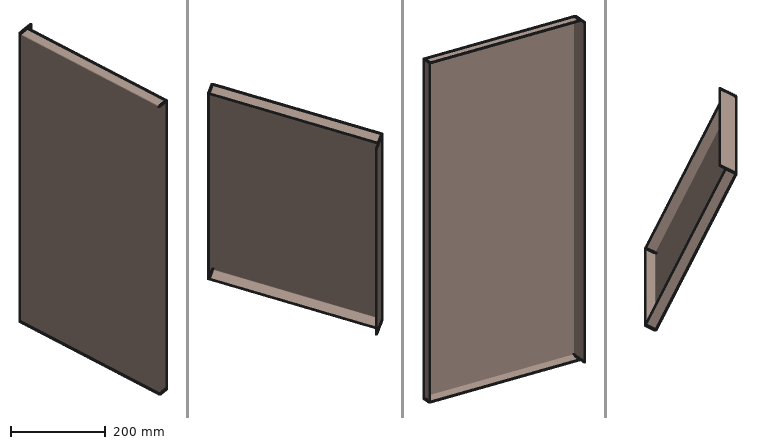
import cadquery as cq

width = 380.0
height = 800.0
pan_depth = 26.0
long_side_depth = 40.0

sheet = 1.5
outer_bend = 3.5
inner_bend = outer_bend - sheet
corner_gap = 1.0


def bent_tray():
    """Front face with four walls folded back, open at +Y."""
    outer = (
        cq.Workplane("XY")
        .box(width, pan_depth, height, centered=(True, False, True))
        .faces("<Y").edges().fillet(outer_bend)
    )
    cavity = (
        cq.Workplane("XY")
        .box(width - 2 * sheet, pan_depth, height - 2 * sheet, centered=(True, False, True))
        .translate((0, sheet, 0))
        .faces("<Y").edges().fillet(inner_bend)
    )
    return outer.cut(cavity)


def long_side_extension():
    """The left wall continues past the depth of the other three walls."""
    return (
        cq.Workplane("XY")
        .box(sheet, long_side_depth - outer_bend, height, centered=(False, False, True))
        .translate((-width / 2, outer_bend, 0))
    )


def corner_seam(side, end):
    """Open seam separating an end wall from a side wall, down to the bend."""
    seam_x = side * (width / 2 - sheet - corner_gap / 2)
    seam_length = pan_depth - outer_bend
    return (
        cq.Workplane("XY")
        .box(corner_gap, seam_length, 2 * outer_bend, centered=(True, False, True))
        .translate((seam_x, outer_bend, end * height / 2))
    )


result = bent_tray().union(long_side_extension())
for side in (-1, 1):
    for end in (-1, 1):
        result = result.cut(corner_seam(side, end))